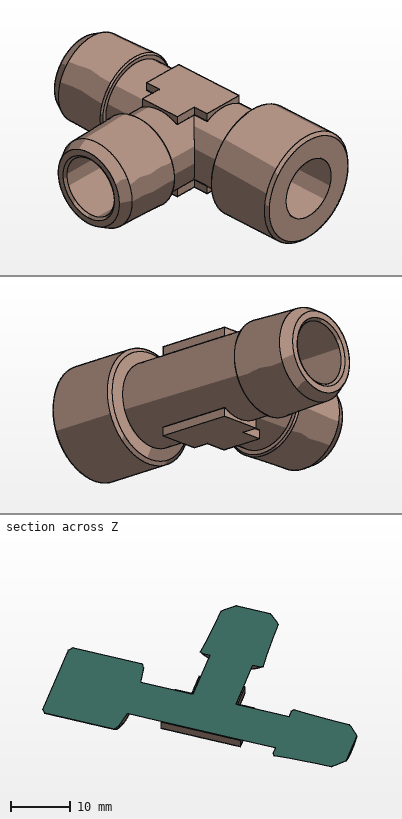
import cadquery as cq

male_reach = 25.5
female_reach = 27.0
pipe_radius = 7.5
bore_radius = 5.5
bore_mouth_radius = 6.0
bore_mouth_depth = 0.45

male_length = 12.35
male_tip_radius = 7.15
male_tip_length = 2.0
male_front_radius = 8.25
male_back_radius = 8.55
male_back_chamfer = 0.3

collar_radius = 10.25
collar_length = 13.95
collar_shoulder_radius = 9.55
collar_shoulder_length = 0.5
collar_back_chamfer_length = 0.45
collar_end_chamfer = 0.6

pad_width = 14.05
pad_half_depth = 3.95
pad_stem_width = 8.15
pad_stem_reach = 8.1
pad_top = 8.05
pad_thickness = 1.6


def male_arm():
    """Solid arm from the crossing to a male end, pointing along -X."""
    back = -male_reach + male_length
    return (
        cq.Workplane("XY")
        .moveTo(0, 0)
        .lineTo(0, pipe_radius)
        .lineTo(back, pipe_radius)
        .lineTo(back, male_back_radius - male_back_chamfer)
        .lineTo(back - male_back_chamfer, male_back_radius)
        .lineTo(-male_reach + male_tip_length, male_front_radius)
        .lineTo(-male_reach, male_tip_radius)
        .lineTo(-male_reach, 0)
        .close()
        .revolve(360, (0, 0, 0), (1, 0, 0))
    )


def male_bore():
    """Bore of a male arm, flared at its mouth."""
    return (
        cq.Workplane("XY")
        .moveTo(0, 0)
        .lineTo(0, bore_radius)
        .lineTo(-male_reach + bore_mouth_depth, bore_radius)
        .lineTo(-male_reach, bore_mouth_radius)
        .lineTo(-male_reach, 0)
        .close()
        .revolve(360, (0, 0, 0), (1, 0, 0))
    )


def female_arm():
    """Solid arm from the crossing to the collar, pointing along +X."""
    back = female_reach - collar_length
    shoulder = back + collar_shoulder_length
    return (
        cq.Workplane("XY")
        .moveTo(0, 0)
        .lineTo(0, pipe_radius)
        .lineTo(back, pipe_radius)
        .lineTo(shoulder, collar_shoulder_radius)
        .lineTo(shoulder + collar_back_chamfer_length, collar_radius)
        .lineTo(female_reach - collar_end_chamfer, collar_radius)
        .lineTo(female_reach, collar_radius - collar_end_chamfer)
        .lineTo(female_reach, 0)
        .close()
        .revolve(360, (0, 0, 0), (1, 0, 0))
    )


def pad(bottom):
    """T-shaped plate whose lower face is at the given height."""
    bar = (
        cq.Workplane("XY")
        .workplane(offset=bottom)
        .rect(pad_width, 2 * pad_half_depth)
        .extrude(pad_thickness)
    )
    stem = (
        cq.Workplane("XY")
        .workplane(offset=bottom)
        .center(0, -pad_stem_reach / 2)
        .rect(pad_stem_width, pad_stem_reach)
        .extrude(pad_thickness)
    )
    return bar.union(stem)


def as_branch(arm):
    """Turn an arm from -X to -Y."""
    return arm.rotate((0, 0, 0), (0, 0, 1), 90)


body = male_arm().union(as_branch(male_arm())).union(female_arm())
for pad_bottom in (pad_top - pad_thickness, -pad_top):
    body = body.union(pad(pad_bottom))

female_bore = cq.Workplane("YZ").circle(bore_radius).extrude(female_reach)
result = body.cut(male_bore()).cut(as_branch(male_bore())).cut(female_bore)